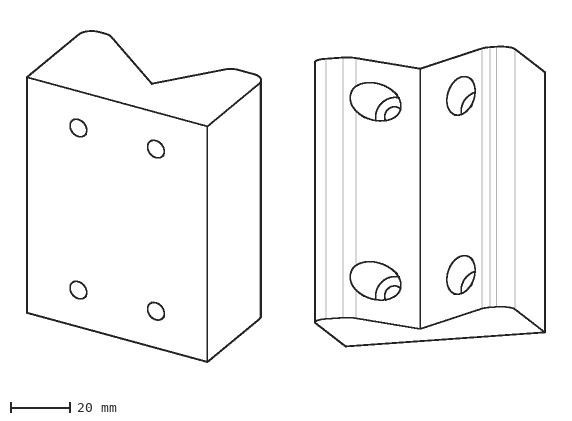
import cadquery as cq
import math

width = 70.0
depth = 40.0
height = 90.0
corner_radius = 5.0

vee_x = 38.7
vee_floor = 17.0
left_wall_angle = 37.8
right_wall_angle = 90.0 - left_wall_angle

hole_diameter = 6.5
head_diameter = 13.0
head_seat = 10.0
hole_columns = (20.0, 50.0)
hole_edge_distance = 14.0
hole_rows = (hole_edge_distance, height - hole_edge_distance)


def vee_block():
    """Block with the V groove running full height and all crests rounded."""
    rise = depth - vee_floor
    left_crest = vee_x - rise / math.tan(math.radians(left_wall_angle))
    right_crest = vee_x + rise / math.tan(math.radians(right_wall_angle))
    outline = [
        (0, 0),
        (width, 0),
        (width, depth),
        (right_crest, depth),
        (vee_x, vee_floor),
        (left_crest, depth),
        (0, depth),
    ]
    block = cq.Workplane("XY").polyline(outline).close().extrude(height)
    crest_edges = cq.selectors.BoxSelector(
        (-0.9, depth - 0.9, -0.9), (width + 0.9, depth + 0.9, height + 0.9)
    )
    return block.edges("|Z").edges(crest_edges).fillet(corner_radius)


def cylinder_along_y(x, z, diameter, start_y):
    """Cutting cylinder from start_y out through the back of the block."""
    return cq.Solid.makeCylinder(
        diameter / 2, depth - start_y, cq.Vector(x, start_y, z), cq.Vector(0, 1, 0)
    )


result = vee_block()
for x in hole_columns:
    for z in hole_rows:
        result = result.cut(cylinder_along_y(x, z, hole_diameter, 0))
        result = result.cut(cylinder_along_y(x, z, head_diameter, head_seat))